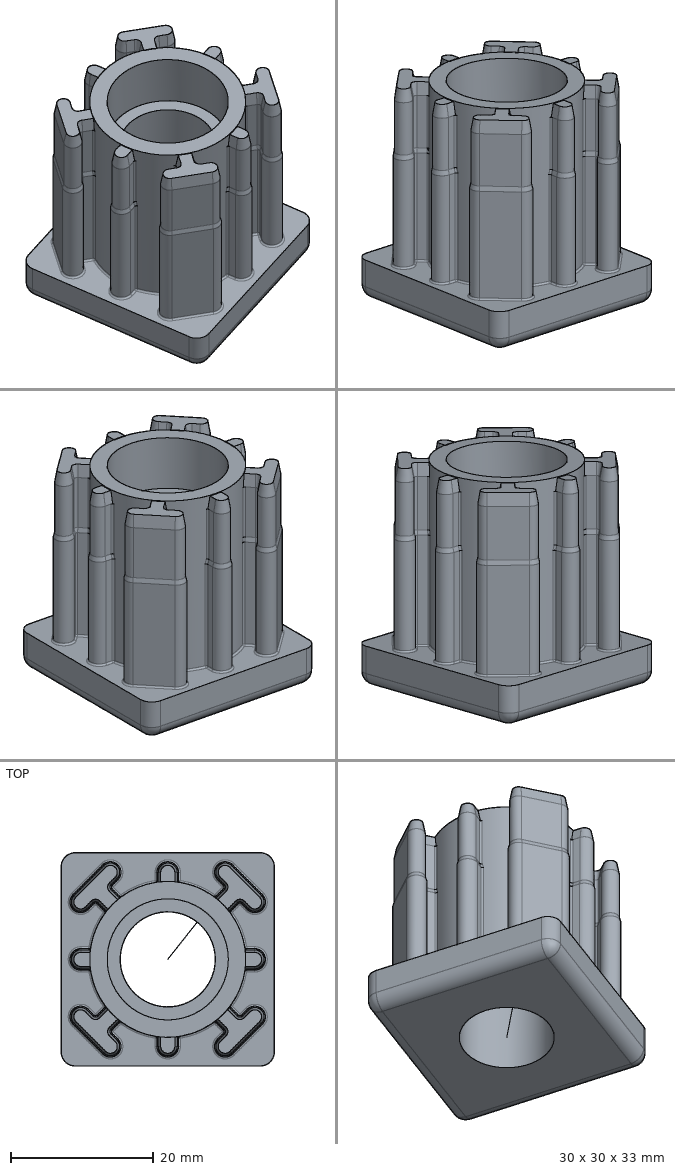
import cadquery as cq
import math

total_height = 33.0
base_side = 30.0
base_height = 6.0
base_corner_radius = 2.0
base_bottom_fillet = 1.98

sleeve_radius = 10.95
bore_radius = 8.5
bore_depth = 8.0
through_hole_radius = 6.65

step_start = 22.35
step_end = 23.07
tip_start = 30.95
rib_top = 32.9
step_inset = 0.18
tip_taper = 10.0

rib_half_width = 1.52
rib_reach = 13.73
rib_end_center = rib_reach - rib_half_width
rib_inner_end = 9.25

bar_outer_face = 15.85
bar_half_width = 1.5
bar_center = bar_outer_face - bar_half_width
bar_half_length = math.sqrt(2) * (rib_reach - bar_half_width) - bar_center
stem_half_width = 1.5

root_fillet = 0.3
foot_fillet = 0.25

tolerance = 0.003


def straight_outline(plane):
    """Round-ended rib along the local X axis."""
    return (
        plane.moveTo(rib_inner_end, -rib_half_width)
        .lineTo(rib_end_center, -rib_half_width)
        .threePointArc((rib_reach, 0), (rib_end_center, rib_half_width))
        .lineTo(rib_inner_end, rib_half_width)
        .close()
    )


def tee_outline(plane):
    """T-shaped rib with its stem along the local X axis and a round-ended bar."""
    inner = bar_center - bar_half_width
    bar_end = bar_half_length + bar_half_width
    stem_end = inner - root_fillet
    corner_side = stem_half_width + root_fillet
    return (
        plane.moveTo(rib_inner_end, -stem_half_width)
        .lineTo(stem_end, -stem_half_width)
        .tangentArcPoint((inner, -corner_side), relative=False)
        .lineTo(inner, -bar_half_length)
        .threePointArc((bar_center, -bar_end), (bar_outer_face, -bar_half_length))
        .lineTo(bar_outer_face, bar_half_length)
        .threePointArc((bar_center, bar_end), (inner, bar_half_length))
        .lineTo(inner, corner_side)
        .tangentArcPoint((stem_end, stem_half_width), relative=False)
        .lineTo(rib_inner_end, stem_half_width)
        .close()
    )


def is_root_edge(edge):
    """True for a rising edge that lies on the sleeve surface."""
    start = edge.startPoint()
    end = edge.endPoint()
    rises = abs(start.z - end.z) > tolerance
    on_sleeve = all(abs(math.hypot(p.x, p.y) - sleeve_radius) < tolerance for p in (start, end))
    return rises and on_sleeve


def ribbed_layer(bottom, top, inset, taper):
    """Slice of the sleeve with all eight ribs."""
    height = top - bottom
    level = cq.Workplane().workplane(offset=bottom)
    layer = level.circle(sleeve_radius).extrude(height)
    for outline, first_angle in ((straight_outline, 0), (tee_outline, 45)):
        profile = outline(level)
        if inset:
            profile = profile.offset2D(-inset)
        rib = profile.extrude(height, taper=taper)
        for quarter in range(4):
            layer = layer.union(rib.rotate((0, 0, 0), (0, 0, 1), first_angle + 90 * quarter))
    return layer


def fillet_roots(layer):
    """Round the concave corners where the ribs meet the sleeve."""
    return layer.edges().filter(is_root_edge).fillet(root_fillet)


def flanged_base():
    """Square base with rounded corners and a rounded bottom rim."""
    return (
        cq.Workplane()
        .rect(base_side, base_side)
        .extrude(base_height)
        .edges("|Z")
        .fillet(base_corner_radius)
        .faces("<Z")
        .edges()
        .fillet(base_bottom_fillet)
    )


inside_rim = base_side / 2 - tolerance
foot_edges = cq.selectors.BoxSelector(
    (-inside_rim, -inside_rim, base_height - tolerance),
    (inside_rim, inside_rim, base_height + tolerance),
    boundingbox=True,
)
body = flanged_base().union(fillet_roots(ribbed_layer(base_height, step_start, 0, 0)))
body = body.edges(foot_edges).fillet(foot_fillet)

step_taper = math.degrees(math.atan2(step_inset, step_end - step_start))
body = body.union(fillet_roots(ribbed_layer(step_start, step_end, 0, step_taper)))
body = body.union(fillet_roots(ribbed_layer(step_end, tip_start, step_inset, 0)))
body = body.union(ribbed_layer(tip_start, rib_top, step_inset, tip_taper))
sleeve = cq.Workplane().circle(sleeve_radius).extrude(total_height - base_bottom_fillet)
body = body.union(sleeve.translate((0, 0, base_bottom_fillet)))

bore = cq.Workplane().workplane(offset=total_height - bore_depth).circle(bore_radius).extrude(bore_depth)
through_hole = cq.Workplane().circle(through_hole_radius).extrude(total_height)
result = body.cut(bore).cut(through_hole)